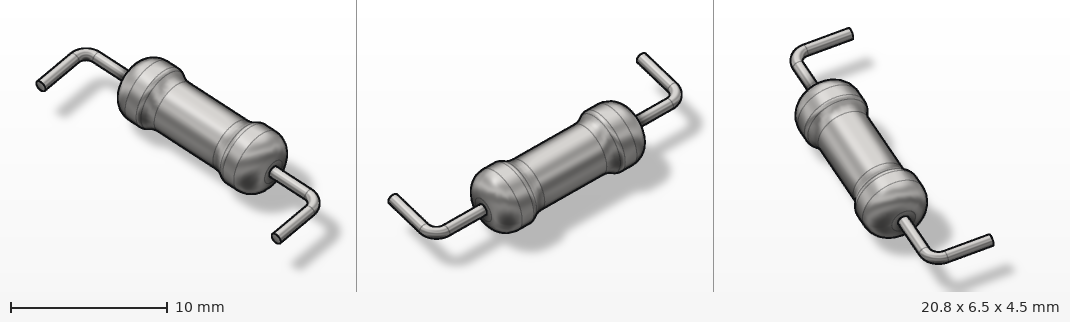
import cadquery as cq
import math

total_length = 20.8
leg_reach = 4.25

body_length = 12.02
cap_diameter = 4.5
neck_diameter = 3.7
end_round_radius = 1.4
cap_length = 2.33
shoulder_length = 1.19
shoulder_crest_length = 0.31

wire_diameter = 0.8
bend_radius = 1.0

half_body = body_length / 2
cap_radius = cap_diameter / 2
neck_radius = neck_diameter / 2
wire_radius = wire_diameter / 2
leg_x = total_length / 2 - wire_radius
diagonal = math.sqrt(0.5)

shoulder_drop = cap_radius - neck_radius
shoulder_radius_sum = (shoulder_length**2 + shoulder_drop**2) / (2 * shoulder_drop)
crest_share = shoulder_crest_length / shoulder_length
crest_radius = shoulder_radius_sum * crest_share
hollow_radius = shoulder_radius_sum - crest_radius
half_sweep = math.asin(shoulder_length / shoulder_radius_sum) / 2

cap_end_x = half_body - cap_length
meet_x = cap_end_x - shoulder_crest_length
neck_end_x = cap_end_x - shoulder_length
meet_radius = cap_radius - shoulder_drop * crest_share


def mirrored(point):
    """The matching point on the other half of the body."""
    x, y = point
    return (-x, y)


def make_body():
    """Dumbbell-shaped body of revolution with a hole for the wire along its axis."""
    round_start_x = half_body - end_round_radius
    end_face_radius = cap_radius - end_round_radius
    end_round_mid = (
        round_start_x + end_round_radius * diagonal,
        end_face_radius + end_round_radius * diagonal,
    )
    crest_mid = (
        cap_end_x - crest_radius * math.sin(half_sweep),
        cap_radius - crest_radius * (1 - math.cos(half_sweep)),
    )
    hollow_mid = (
        neck_end_x + hollow_radius * math.sin(half_sweep),
        neck_radius + hollow_radius * (1 - math.cos(half_sweep)),
    )
    profile = (
        cq.Workplane("XY")
        .moveTo(-half_body, wire_radius)
        .lineTo(half_body, wire_radius)
        .lineTo(half_body, end_face_radius)
        .threePointArc(end_round_mid, (round_start_x, cap_radius))
        .lineTo(cap_end_x, cap_radius)
        .threePointArc(crest_mid, (meet_x, meet_radius))
        .threePointArc(hollow_mid, (neck_end_x, neck_radius))
        .lineTo(-neck_end_x, neck_radius)
        .threePointArc(mirrored(hollow_mid), (-meet_x, meet_radius))
        .threePointArc(mirrored(crest_mid), (-cap_end_x, cap_radius))
        .lineTo(-round_start_x, cap_radius)
        .threePointArc(mirrored(end_round_mid), (-half_body, end_face_radius))
        .close()
    )
    return profile.revolve(360, (0, 0, 0), (1, 0, 0))


def make_wire():
    """One continuous wire through the body, with both ends bent towards -Y."""
    bend_start_x = leg_x - bend_radius
    bend_mid_x = bend_start_x + bend_radius * diagonal
    bend_mid_y = -bend_radius + bend_radius * diagonal
    path = (
        cq.Workplane("XY")
        .moveTo(-leg_x, -leg_reach)
        .lineTo(-leg_x, -bend_radius)
        .threePointArc((-bend_mid_x, bend_mid_y), (-bend_start_x, 0))
        .lineTo(bend_start_x, 0)
        .threePointArc((bend_mid_x, bend_mid_y), (leg_x, -bend_radius))
        .lineTo(leg_x, -leg_reach)
    )
    cut_end = cq.Workplane("XZ", origin=(-leg_x, -leg_reach, 0)).circle(wire_radius)
    return cut_end.sweep(path)


body = make_body()
wire = make_wire()

result = cq.Compound.makeCompound([body.val(), wire.val()])